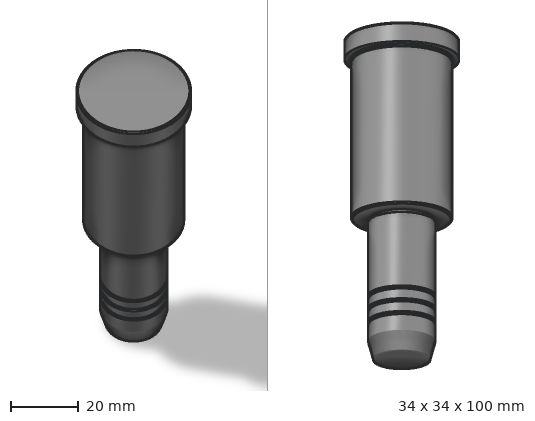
import cadquery as cq
import math

total_height = 100.0
head_radius = 17.0
head_height = 6.0
body_radius = 15.0
body_bottom = 44.0
shank_radius = 10.0

edge_chamfer = 0.5
tip_fillet = 0.5
taper_height = 6.0
taper_angle = 15.0
tip_radius = shank_radius - taper_height * math.tan(math.radians(taper_angle))

relief_height = 1.0
relief_depth = 0.5

groove_depth = 0.4
groove_half_width = 0.5
shank_groove_heights = (11.5, 15.5, 19.5)

head_bottom = total_height - head_height
body_height = head_bottom - body_bottom


def cylinder(radius, bottom, height):
    return cq.Workplane("XY").workplane(offset=bottom).circle(radius).extrude(height)


def v_groove(surface_radius, height):
    """Ring that cuts a V-shaped groove into a cylindrical surface."""
    return (
        cq.Workplane("XZ")
        .moveTo(surface_radius, height - groove_half_width)
        .lineTo(surface_radius - groove_depth, height)
        .lineTo(surface_radius, height + groove_half_width)
        .lineTo(surface_radius + groove_depth, height + groove_half_width)
        .lineTo(surface_radius + groove_depth, height - groove_half_width)
        .close()
        .revolve(360, (0, 0), (0, 1))
    )


head = cylinder(head_radius, head_bottom, head_height).faces(">Z").chamfer(edge_chamfer)

body = cylinder(body_radius, body_bottom, body_height).faces("<Z").chamfer(edge_chamfer)
body = body.cut(v_groove(body_radius, head_bottom - groove_half_width))

relief_bottom = body_bottom - relief_height
shank = cylinder(shank_radius, taper_height, relief_bottom - taper_height)
neck = cylinder(shank_radius - relief_depth, relief_bottom, relief_height)
tip = (
    cq.Workplane("XY")
    .circle(tip_radius)
    .workplane(offset=taper_height)
    .circle(shank_radius)
    .loft()
    .faces("<Z")
    .edges()
    .fillet(tip_fillet)
)
for groove_height in shank_groove_heights:
    shank = shank.cut(v_groove(shank_radius, groove_height))

result = head.union(body).union(neck).union(shank).union(tip)